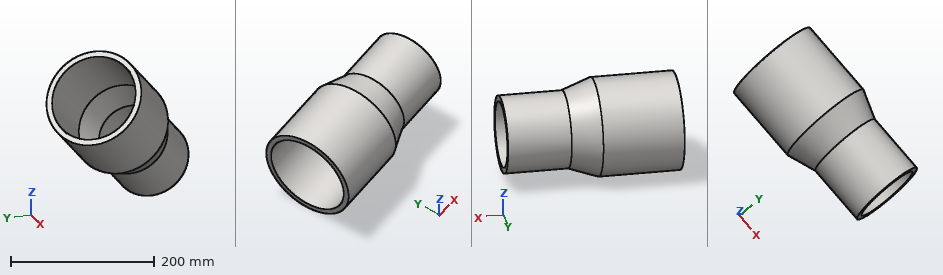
import cadquery as cq

total_length = 248.0
wide_length = 115.5
narrow_length = 90.3
wide_outer_diameter = 140.0
wide_inner_diameter = 123.5
narrow_outer_diameter = 110.0
narrow_inner_diameter = 93.5

taper_end = total_length - narrow_length


def stepped_body(wide_diameter, narrow_diameter):
    """Solid of revolution: wide cylinder, cone, narrow cylinder."""
    wide_radius = wide_diameter / 2
    narrow_radius = narrow_diameter / 2
    return (
        cq.Workplane("XY")
        .moveTo(0, 0)
        .lineTo(0, wide_radius)
        .lineTo(wide_length, wide_radius)
        .lineTo(taper_end, narrow_radius)
        .lineTo(total_length, narrow_radius)
        .lineTo(total_length, 0)
        .close()
        .revolve(360, (0, 0, 0), (1, 0, 0))
    )


outer_body = stepped_body(wide_outer_diameter, narrow_outer_diameter)
bore = stepped_body(wide_inner_diameter, narrow_inner_diameter)

result = outer_body.cut(bore)